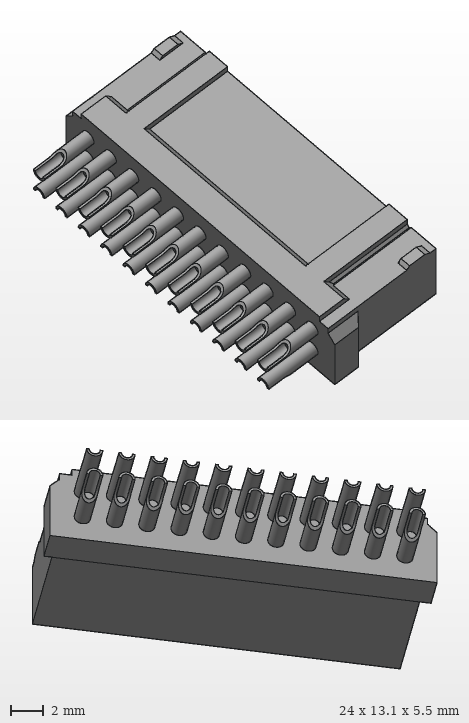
import cadquery as cq
import math


width = 24.0
height = 5.5
housing_length = 9.0
collar_length = 2.5
collar_step = 0.6
collar_drop = 0.9
collar_foot = 0.5
half_width = width / 2
housing_half_width = half_width - collar_step

recess_depth = 0.45
shoulder_half_width = 10.63
rail_outer = 8.83
rail_inner = 7.2
recess_floor = height - recess_depth
groove_depth = 0.18

bump_height = 0.25
bump_start = 0.5
bump_crest_start = 0.94
bump_end = 2.45
bump_crest_end = bump_end - bump_height

pin_columns = 11
pin_span = 20.0
pin_diameter = 1.0
pin_length = 4.1
pin_rows_middle = 2.75
pin_pitch = pin_span / (pin_columns - 1)
pin_radius = pin_diameter / 2
cup_bore = 0.67
cup_start = 2.0
cup_blend_radius = 0.85


def prism_along_x(points, x_start, x_end):
    """Extrude a (Y, Z) outline between two X positions."""
    outline = cq.Workplane("YZ", origin=(x_start, 0, 0)).polyline(points).close()
    return outline.extrude(x_end - x_start)


def mirrored_pair(shape):
    """A shape together with its copy on the other side of X = 0."""
    return shape.union(shape.mirror("YZ"))


def housing_block():
    """Housing and bevelled collar: the common part of a front, a plan and a side outline."""
    collar_top = height - collar_drop
    front_half = [
        (0, 0),
        (half_width, 0),
        (half_width, collar_top - collar_step),
        (housing_half_width, collar_top),
        (housing_half_width, recess_floor),
        (shoulder_half_width, recess_floor),
        (shoulder_half_width, height),
        (0, height),
    ]
    plan_half = [
        (0, 0),
        (half_width, 0),
        (half_width, collar_length - collar_foot),
        (housing_half_width, collar_length),
        (housing_half_width, housing_length),
        (0, housing_length),
    ]
    side = [
        (0, 0),
        (collar_length - collar_foot, 0),
        (collar_length, collar_foot),
        (housing_length, collar_foot),
        (housing_length, height),
        (0, height),
    ]
    front_prism = cq.Workplane("XZ").polyline(front_half).mirrorY().extrude(-housing_length)
    plan_prism = cq.Workplane("XY").polyline(plan_half).mirrorY().extrude(height)
    side_prism = prism_along_x(side, -half_width, half_width)
    return front_prism.intersect(plan_prism).intersect(side_prism)


def top_recess(x_start, x_end, depth):
    """Recess open to the rear, ending in a 45 degree ramp behind the front bar."""
    ramp_top = collar_length - recess_depth
    points = [
        (ramp_top, height),
        (ramp_top + depth, height - depth),
        (housing_length, height - depth),
        (housing_length, height),
    ]
    return prism_along_x(points, x_start, x_end)


def rail_groove():
    """V groove at the foot of the right rail, cut by the same ramp as the recess."""
    groove_outer = rail_outer + 2 * groove_depth
    groove_bottom = recess_floor - groove_depth
    points = [
        (rail_outer, height),
        (rail_outer, recess_floor),
        (rail_outer + groove_depth, groove_bottom),
        (groove_outer, recess_floor),
        (groove_outer, height),
    ]
    vee = cq.Workplane("XZ").polyline(points).close().extrude(-housing_length)
    return vee.intersect(top_recess(rail_outer, groove_outer, recess_depth + groove_depth))


def latch_bump():
    """Bump with sloped ends on the right side recess floor."""
    points = [
        (housing_length - bump_start, recess_floor),
        (housing_length - bump_crest_start, recess_floor + bump_height),
        (housing_length - bump_crest_end, recess_floor + bump_height),
        (housing_length - bump_end, recess_floor),
    ]
    return prism_along_x(points, shoulder_half_width, housing_half_width)


def solder_pin():
    """Pin along -Y from the origin, bored at its end and opened to a half cup on top."""
    slope_foot = cup_start + pin_radius
    slope_angle = math.radians(45)
    half_angle = slope_angle / 2
    tangent = cup_blend_radius * math.tan(half_angle)
    blend_start = (-slope_foot + tangent * math.cos(slope_angle), tangent * math.sin(slope_angle))
    blend_end = (-slope_foot - tangent, 0)
    blend_middle = (
        blend_end[0] + cup_blend_radius * math.sin(half_angle),
        cup_blend_radius * (1 - math.cos(half_angle)),
    )
    opening = (
        cq.Workplane("YZ", origin=(-pin_radius, 0, 0))
        .moveTo(-cup_start, pin_radius)
        .lineTo(*blend_start)
        .threePointArc(blend_middle, blend_end)
        .lineTo(-pin_length, 0)
        .lineTo(-pin_length, pin_radius)
        .close()
        .extrude(pin_diameter)
    )
    bore_length = pin_length - cup_start
    bore = cq.Workplane("XZ", origin=(0, -cup_start, 0)).circle(cup_bore / 2).extrude(bore_length)
    return cq.Workplane("XZ").circle(pin_radius).extrude(pin_length).cut(opening).cut(bore)


result = (
    housing_block()
    .cut(top_recess(-rail_inner, rail_inner, recess_depth))
    .cut(mirrored_pair(top_recess(rail_outer, housing_half_width, recess_depth)))
    .cut(mirrored_pair(rail_groove()))
    .union(mirrored_pair(latch_bump()))
)

upper_pin = solder_pin()
lower_pin = upper_pin.mirror("XY")
for column in range(pin_columns):
    x = -pin_span / 2 + column * pin_pitch
    result = result.union(upper_pin.translate((x, 0, pin_rows_middle + pin_pitch / 2)))
    result = result.union(lower_pin.translate((x, 0, pin_rows_middle - pin_pitch / 2)))